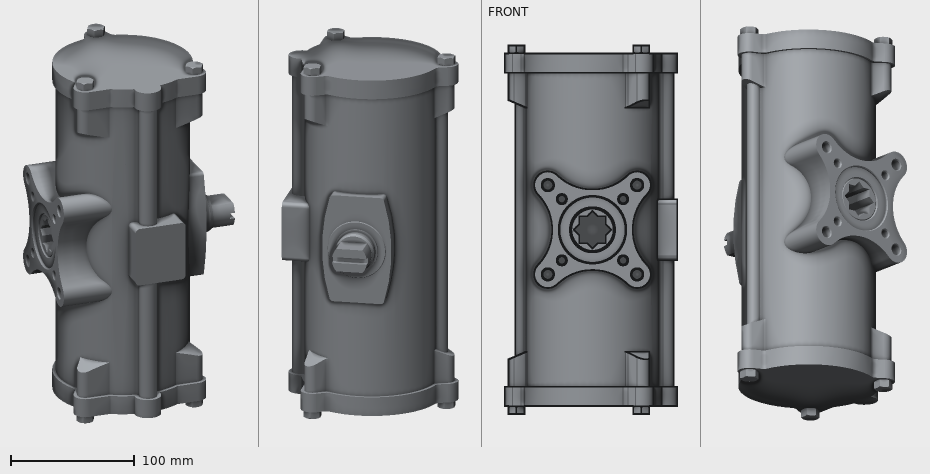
import cadquery as cq
import math

total_height = 298.5
half_height = total_height / 2
front_y = -68.3
stem_end_y = 91.5
port_face_x = 68.5

tube_radius = 54.3
bolt_head_height = 6.5
bolt_head_flats = 13.0
bolt_head_chamfer_angle = math.radians(30)
cap_radius = 57.0
cap_height = 15.8
cap_top = half_height - bolt_head_height
cap_bottom = cap_top - cap_height
bolt_circle_radius = 61.5
side_bolt_angle = 50.0
bolt_angles = [180, side_bolt_angle, -side_bolt_angle]
lobe_flare = 20.0
side_boss_flare = 15.0
cap_lobe_radius = 9.5
cap_lobe_fillet = 4.5
channel_lobe_radius = 11.0
boss_radius = 6.5
boss_fillet = 2.0
straight_root_min = 20.0
root_tolerance = 0.03
boss_inner_end = 98.8
boss_end_slope = 24.0

thin_rib_radius = 5.7
thin_rib_reach = 62.7
thin_rib_fillet = 1.2
channel_rib_radius = 7.5
channel_rib_reach = 66.0
channel_rib_fillet = 2.7

port_width = 43.3
port_height = 49.5
port_centre_y = 7.2
port_corner = 3.5

flange_hole_offset = 36.0
flange_lobe_radius = 11.0
flange_waist = 32.5
large_hole_diameter = 8.7
large_hole_mouth = 10.0
small_hole_offset = 24.8
small_hole_diameter = 6.5
small_hole_mouth = 8.5
flange_hole_depth = 18.0
spigot_recess_diameter = 55.0
spigot_wall_diameter = 53.5
spigot_recess_depth = 2.0

pad_face_y = 61.8
pad_half_height = 45.0
pad_half_width = 28.5
pad_end_half_width = 21.8
pad_corner = 3.0
pad_ring_diameter = 48.0
pad_ring_top_diameter = 47.0
pad_ring_height = 1.0

shaft_diameter = 35.5
shaft_face_diameter = 34.0
shaft_bore_mouth = 36.7
shaft_sink = 1.0
shaft_shoulder_height = 1.8
neck_diameter = 32.0
neck_height = 8.5
neck_chamfer = 1.2
neck_chamfer_length = 2.7
stem_diameter = 29.0
stem_flats = 19.0
slot_width = 4.8
slot_depth = 4.2
star_square = 21.5
star_depth = 35.8

pad_ring_y = pad_face_y + pad_ring_height
recess_floor_y = front_y + spigot_recess_depth
shaft_face_y = recess_floor_y + shaft_sink
shaft_shoulder_y = pad_ring_y + shaft_shoulder_height
neck_end_y = shaft_shoulder_y + neck_height


def cone_along_y(start_diameter, end_diameter, start_y, end_y, x=0, z=0):
    """Cone or cylinder along +Y between two Y levels."""
    length = end_y - start_y
    origin = cq.Vector(x, start_y, z)
    direction = cq.Vector(0, 1, 0)
    if start_diameter == end_diameter:
        return cq.Workplane(cq.Solid.makeCylinder(start_diameter / 2, length, origin, direction))
    return cq.Workplane(
        cq.Solid.makeCone(start_diameter / 2, end_diameter / 2, length, origin, direction)
    )


def round_lobe(angle, centre_radius, radius, bottom, top):
    """Plain round column half buried in the round body, its seam on the buried side."""
    return (
        cq.Workplane("XY")
        .workplane(offset=bottom)
        .center(-centre_radius, 0)
        .circle(radius)
        .extrude(top - bottom)
        .rotate((0, 0, 0), (0, 0, 1), angle + 180)
    )


def flared_lobe(angle, radius, right_flare, left_flare, bottom, top):
    """Rounded lobe about a bolt whose two flanks flare by the given degrees towards the tube."""
    right = math.radians(right_flare)
    left = math.radians(left_flare)
    root_x = tube_radius / 2

    def tangent_point(flare):
        return (bolt_circle_radius + radius * math.sin(flare), radius * math.cos(flare))

    def root_y(flare):
        x, y = tangent_point(flare)
        return y + (x - root_x) * math.tan(flare)

    right_x, right_y = tangent_point(right)
    return (
        cq.Workplane("XY")
        .workplane(offset=bottom)
        .moveTo(root_x, -root_y(right))
        .lineTo(right_x, -right_y)
        .threePointArc((bolt_circle_radius + radius, 0), tangent_point(left))
        .lineTo(root_x, root_y(left))
        .close()
        .extrude(top - bottom)
        .rotate((0, 0, 0), (0, 0, 1), angle)
    )


def bolt_lobes(radius, side_flare, bottom, top):
    """The three bolt lobes; the side lobes have one flank parallel to the YZ plane."""
    straight = 90 - side_bolt_angle
    return [
        flared_lobe(180, radius, lobe_flare, lobe_flare, bottom, top),
        flared_lobe(side_bolt_angle, radius, straight, side_flare, bottom, top),
        flared_lobe(-side_bolt_angle, radius, side_flare, straight, bottom, top),
    ]


def lobed_cylinder(base_radius, lobes, seam_angle, fillet, bottom, top):
    """Cylinder with lobes; concave fillets at their roots, except at flanks along Y."""
    body = (
        cq.Workplane("XY")
        .workplane(offset=bottom)
        .circle(base_radius)
        .extrude(top - bottom)
        .rotate((0, 0, 0), (0, 0, 1), seam_angle)
    )
    for lobe in lobes:
        body = body.union(lobe)

    def at_filleted_root(edge):
        centre = edge.Center()
        off_axis = abs(math.degrees(math.atan2(centre.y, centre.x)))
        on_cylinder = abs(math.hypot(centre.x, centre.y) - base_radius) < root_tolerance
        beside_straight_flank = straight_root_min < off_axis < side_bolt_angle
        return on_cylinder and not beside_straight_flank

    return body.edges("|Z").filter(at_filleted_root).fillet(fillet)


def make_tube():
    """Tube with a thin rib on -X and a wider channel rib on +X."""
    thin_rib = round_lobe(
        180, thin_rib_reach - thin_rib_radius, thin_rib_radius, -cap_bottom, cap_bottom
    )
    channel_rib = round_lobe(
        0, channel_rib_reach - channel_rib_radius, channel_rib_radius, -cap_bottom, cap_bottom
    )
    thin_side = lobed_cylinder(
        tube_radius, [thin_rib], 180, thin_rib_fillet, -cap_bottom, cap_bottom
    )
    channel_side = lobed_cylinder(
        tube_radius, [channel_rib], 0, channel_rib_fillet, -cap_bottom, cap_bottom
    )
    return thin_side.union(channel_side)


def make_bolt_bosses():
    """Upper bolt bosses, their lower ends sloping up and outward."""
    outer_radius = bolt_circle_radius + 2 * boss_radius
    rise = (outer_radius - tube_radius) * math.tan(math.radians(boss_end_slope))
    lobes = bolt_lobes(boss_radius, side_boss_flare, boss_inner_end, cap_bottom)
    bosses = lobed_cylinder(tube_radius, lobes, 180, boss_fillet, boss_inner_end, cap_bottom)
    slope_cutter = (
        cq.Workplane("XZ")
        .polyline([
            (tube_radius, boss_inner_end),
            (outer_radius, boss_inner_end),
            (outer_radius, boss_inner_end + rise),
        ])
        .close()
        .revolve(360, (0, 0, 0), (0, 1, 0))
    )
    return bosses.cut(slope_cutter)


def make_cap():
    """Upper end cap with three bolt lobes and a plain lobe over the channel rib."""
    lobes = bolt_lobes(cap_lobe_radius, lobe_flare, cap_bottom, cap_top)
    cap = lobed_cylinder(cap_radius, lobes, 180, cap_lobe_fillet, cap_bottom, cap_top)
    channel_lobe_centre = port_face_x - channel_lobe_radius
    return cap.union(
        round_lobe(0, channel_lobe_centre, channel_lobe_radius, cap_bottom, cap_top)
    )


def make_bolt_heads():
    """Upper hexagon heads, chamfered to a circle at both ends."""
    corner_radius = bolt_head_flats / 2 / math.cos(math.pi / 6)
    chamfer_height = (corner_radius - bolt_head_flats / 2) * math.tan(bolt_head_chamfer_angle)
    hexagon = (
        cq.Workplane("XY")
        .polygon(6, 2 * corner_radius)
        .extrude(bolt_head_height)
        .rotate((0, 0, 0), (0, 0, 1), 30)
    )
    round_envelope = (
        cq.Workplane("XZ")
        .polyline([
            (0, 0),
            (bolt_head_flats / 2, 0),
            (corner_radius, chamfer_height),
            (corner_radius, bolt_head_height - chamfer_height),
            (bolt_head_flats / 2, bolt_head_height),
            (0, bolt_head_height),
        ])
        .close()
        .revolve(360, (0, 0, 0), (0, 1, 0))
    )
    head = hexagon.intersect(round_envelope)
    heads = cq.Workplane("XY")
    for angle in bolt_angles:
        x = bolt_circle_radius * math.cos(math.radians(angle))
        y = bolt_circle_radius * math.sin(math.radians(angle))
        heads = heads.add(head.translate((x, y, cap_top)))
    return heads.combine()


def make_port_block():
    """Rounded block standing out on +X."""
    return (
        cq.Workplane("YZ")
        .center(port_centre_y, 0)
        .rect(port_width, port_height)
        .extrude(port_face_x)
        .edges("|X")
        .fillet(port_corner)
    )


def make_flange():
    """Four-armed mounting flange with a hollow arc on each side."""
    offset = flange_hole_offset
    gap = flange_waist - offset
    lobe_distance_squared = gap ** 2 + offset ** 2
    hollow_radius = (lobe_distance_squared - flange_lobe_radius ** 2) / (2 * (flange_lobe_radius - gap))
    hollow_centre = flange_waist + hollow_radius
    share = hollow_radius / (hollow_radius + flange_lobe_radius)
    near = hollow_centre + (offset - hollow_centre) * share
    side = offset * share
    lobe_tip = offset + flange_lobe_radius / math.sqrt(2)

    outline = cq.Workplane("XZ").workplane(offset=-front_y).moveTo(near, -side)
    for quarter in range(4):
        cosine = round(math.cos(quarter * math.pi / 2))
        sine = round(math.sin(quarter * math.pi / 2))

        def turned(u, v):
            return (u * cosine - v * sine, u * sine + v * cosine)

        outline = outline.threePointArc(turned(flange_waist, 0), turned(near, side))
        outline = outline.threePointArc(turned(lobe_tip, lobe_tip), turned(side, near))
    return outline.close().extrude(front_y)


def make_pad():
    """Rear pad with two bulging sides and rounded corners."""
    pad = (
        cq.Workplane("XZ")
        .moveTo(-pad_end_half_width, pad_half_height)
        .lineTo(pad_end_half_width, pad_half_height)
        .threePointArc((pad_half_width, 0), (pad_end_half_width, -pad_half_height))
        .lineTo(-pad_end_half_width, -pad_half_height)
        .threePointArc((-pad_half_width, 0), (-pad_end_half_width, pad_half_height))
        .close()
        .extrude(-pad_face_y)
        .edges("|Y")
        .fillet(pad_corner)
    )
    ring = cone_along_y(pad_ring_diameter, pad_ring_top_diameter, pad_face_y, pad_ring_y)
    return pad.union(ring)


def make_flange_holes():
    """Countersunk bolt holes on the flange diagonals."""
    holes = cq.Workplane("XY")
    hole_kinds = [
        (flange_hole_offset, large_hole_diameter, large_hole_mouth),
        (small_hole_offset, small_hole_diameter, small_hole_mouth),
    ]
    for offset, diameter, mouth in hole_kinds:
        mouth_depth = (mouth - diameter) / 2
        for x in (-offset, offset):
            for z in (-offset, offset):
                holes = holes.add(
                    cone_along_y(diameter, diameter, front_y, front_y + flange_hole_depth, x, z)
                )
                holes = holes.add(cone_along_y(mouth, diameter, front_y, front_y + mouth_depth, x, z))
    return holes.combine()


def make_shaft_bore():
    """Chamfered spigot recess, bore mouth and through bore for the shaft."""
    rim_depth = (spigot_recess_diameter - spigot_wall_diameter) / 2
    rim = cone_along_y(spigot_recess_diameter, spigot_wall_diameter, front_y, front_y + rim_depth)
    recess = cone_along_y(spigot_wall_diameter, spigot_wall_diameter, front_y, recess_floor_y)
    mouth = cone_along_y(shaft_bore_mouth, shaft_diameter, recess_floor_y, shaft_face_y)
    bore = cone_along_y(shaft_diameter, shaft_diameter, recess_floor_y, pad_ring_y)
    return recess.union(rim).union(bore).union(mouth)


def make_housing():
    """Tube, caps, bolts, port block, flange and rear pad in one piece, bored for the shaft."""
    end_parts = make_bolt_bosses().union(make_cap()).union(make_bolt_heads())
    housing = make_tube().union(end_parts).union(end_parts.mirror("XY"))
    housing = housing.union(make_port_block()).union(make_flange()).union(make_pad())
    return housing.cut(make_flange_holes()).cut(make_shaft_bore())


def make_shaft():
    """Stepped shaft with an eight-pointed star socket and a slotted two-flat stem."""
    face_chamfer = (shaft_diameter - shaft_face_diameter) / 2
    shaft = (
        cq.Workplane("XY")
        .polyline([
            (0, shaft_face_y),
            (shaft_face_diameter / 2, shaft_face_y),
            (shaft_diameter / 2, shaft_face_y + face_chamfer),
            (shaft_diameter / 2, shaft_shoulder_y),
            (neck_diameter / 2, shaft_shoulder_y),
            (neck_diameter / 2, neck_end_y - neck_chamfer_length),
            (neck_diameter / 2 - neck_chamfer, neck_end_y),
            (0, neck_end_y),
        ])
        .close()
        .revolve(360, (0, 0, 0), (0, 1, 0))
    )
    stem_length = stem_end_y - neck_end_y
    stem = cone_along_y(stem_diameter, stem_diameter, neck_end_y, stem_end_y).intersect(
        cq.Workplane("XY")
        .box(stem_diameter, stem_length, stem_flats)
        .translate((0, neck_end_y + stem_length / 2, 0))
    )
    slot = (
        cq.Workplane("XY")
        .box(stem_diameter, 2 * slot_depth, slot_width)
        .translate((0, stem_end_y, 0))
    )
    shaft = shaft.union(stem).cut(slot)
    for angle in (0, 45):
        square_socket = (
            cq.Workplane("XY")
            .box(star_square, star_depth, star_square)
            .translate((0, shaft_face_y + star_depth / 2, 0))
            .rotate((0, 0, 0), (0, 1, 0), angle)
        )
        shaft = shaft.cut(square_socket)
    return shaft


housing = make_housing()
shaft = make_shaft()
result = cq.Compound.makeCompound([housing.val(), shaft.val()])